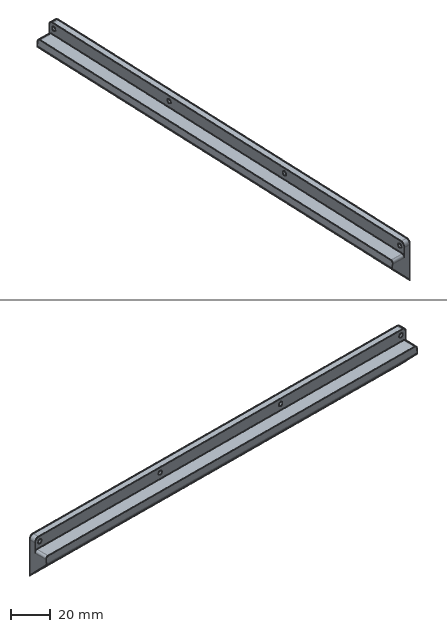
import cadquery as cq
import math

length = 260.0
depth = 12.2
height = 25.0

wall_thickness = 4.0
ledge_drop = 7.3
lip_height = 4.7
lip_setback = 0.5
lip_edge_radius = 1.5

wall_corner_radius = 2.5
ledge_corner_radius = 1.5

hole_diameter = 2.5
hole_inset = 3.5
hole_count = 4

ledge_z = height - ledge_drop
wall_front_y = depth - wall_thickness

lip_lean = math.atan2(lip_setback, lip_height)
underside_slope = math.atan2(ledge_z - lip_height, depth)
half_turn = (lip_lean + underside_slope) / 2
bisector_tilt = (underside_slope - lip_lean) / 2
sharp_edge_y = -lip_edge_radius * (math.cos(bisector_tilt) / math.cos(half_turn) - 1)


def rounded_block(y_start, y_end, top_z, corner_radius):
    """Full-length block with its two upper end corners rounded."""
    block = cq.Workplane("XY").box(length, y_end - y_start, top_z, centered=(True, False, False))
    return block.translate((0, y_start, 0)).edges("|Y and >Z").fillet(corner_radius)


def ledge_profile():
    """Side outline with a leaning lip and a sloped underside."""
    return (
        cq.Workplane("YZ", origin=(-length / 2, 0, 0))
        .moveTo(depth, 0)
        .lineTo(sharp_edge_y, ledge_z - lip_height)
        .lineTo(sharp_edge_y + lip_setback, ledge_z)
        .lineTo(sharp_edge_y + lip_setback, height)
        .lineTo(depth, height)
        .close()
        .extrude(length)
        .edges("|X and <Y")
        .fillet(lip_edge_radius)
    )


def mounting_holes():
    """Evenly spaced row of through holes along the top of the wall."""
    spacing = (length - 2 * hole_inset) / (hole_count - 1)
    return (
        cq.Workplane("XZ", origin=(0, depth, height - hole_inset))
        .rarray(spacing, 2.5, hole_count, 1)
        .circle(hole_diameter / 2)
        .extrude(wall_thickness)
    )


wall = rounded_block(wall_front_y, depth, height, wall_corner_radius)
ledge = rounded_block(sharp_edge_y, wall_front_y, ledge_z, ledge_corner_radius)
result = wall.union(ledge).intersect(ledge_profile()).cut(mounting_holes())